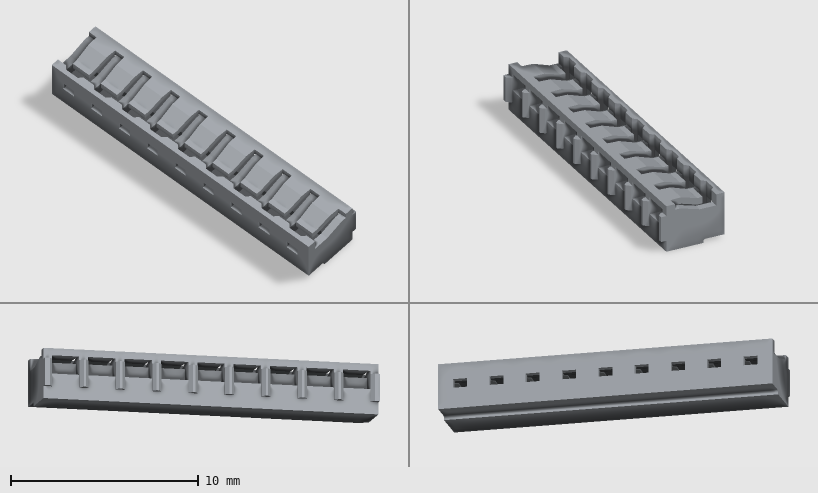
import cadquery as cq
import math

length = 18.4
depth = 3.8
height = 2.75

position_count = 9
end_margin = 0.2
pitch = (length - 2 * end_margin) / position_count
rib_width = 0.5
cavity_width = pitch - rib_width

front = -depth / 2
back = depth / 2
top = height / 2
bottom = -height / 2
left = -length / 2
right = length / 2
body_back = front + 3.5

foot_drop = 2.52
foot_fillet = 0.13
foot_end = front + 1.27

spine_top_drop = 0.59
spine_bottom_drop = 2.08
taper_run = 0.18
taper_depth = 0.22

shelf_drop = 0.33
rib_low_drop = 0.66
front_wall = 0.5
rib_slope_low = front + 1.49
rib_slope_high = front + 2.65
slot_back = front + 2.98

tongue_thickness = 0.39
tongue_drop = 0.31
tongue_tip = front + 1.0
tongue_slope_low = front + 1.32
tongue_slope_high = front + 2.32
tongue_tip_width = 1.15
tongue_root_width = 1.35

floor_drop = 1.38
ramp_front = front + 1.77
ramp_back = front + 2.78
ramp_low_drop = 0.94
ramp_high_drop = 0.65
notch_wall = 0.28
notch_width = 1.23
notch_floor_width = 0.83
window_width = 0.77
window_top_drop = 0.9


def prism_x(points, start, width):
    """Extrude a (y, z) outline along X from the given start."""
    return cq.Workplane("YZ").workplane(offset=start).polyline(points).close().extrude(width)


def prism_z(points, low, high):
    """Extrude an (x, y) outline between two heights."""
    return cq.Workplane("XY").workplane(offset=low).polyline(points).close().extrude(high - low)


def box(x_center, width, y_low, y_high, z_low, z_high):
    """Box centred on x_center with explicit Y and Z limits."""
    size = (width, y_high - y_low, z_high - z_low)
    corner = (x_center - width / 2, y_low, z_low)
    return cq.Workplane("XY").box(*size, centered=False).translate(corner)


def make_body():
    """Plain housing whose underside steps up, through a concave fillet, at the front."""
    foot_top = top - foot_drop
    fillet_mid = foot_fillet * math.sqrt(0.5)
    fillet_center = (foot_end - foot_fillet, foot_top - foot_fillet)
    return (
        cq.Workplane("YZ")
        .workplane(offset=left)
        .moveTo(front, top)
        .lineTo(body_back, top)
        .lineTo(body_back, bottom)
        .lineTo(foot_end, bottom)
        .lineTo(foot_end, foot_top - foot_fillet)
        .threePointArc(
            (fillet_center[0] + fillet_mid, fillet_center[1] + fillet_mid),
            (foot_end - foot_fillet, foot_top),
        )
        .lineTo(front, foot_top)
        .close()
        .extrude(length)
    )


def make_slot():
    """Full-length slot that leaves the ribs with their sloping tops."""
    outline = [
        (front + front_wall, top),
        (front + front_wall, top - rib_low_drop),
        (rib_slope_low, top - rib_low_drop),
        (rib_slope_high, top - shelf_drop),
        (slot_back, top - shelf_drop),
        (slot_back, top),
    ]
    return prism_x(outline, left, length)


def make_spine(x):
    """Spine that carries a rib past the rear face; a side cut by an end face is square."""
    wide = rib_width / 2
    narrow = wide - taper_run
    if x - wide < left:
        outline = [(left, body_back), (left, back)]
    else:
        outline = [(x - wide, body_back), (x - wide, back - taper_depth), (x - narrow, back)]
    if x + wide > right:
        outline += [(right, back), (right, body_back)]
    else:
        outline += [(x + narrow, back), (x + wide, back - taper_depth), (x + wide, body_back)]
    return prism_z(outline, top - spine_bottom_drop, top - spine_top_drop)


def make_cavity(x):
    """Terminal cavity, open at the rear, with a notch in the front wall and a window."""
    floor = top - floor_drop
    roof = top - tongue_thickness
    main = box(x, cavity_width, front + front_wall, body_back, floor, roof)
    wide = notch_width / 2
    narrow = notch_floor_width / 2
    notch_outline = [
        (x - wide, front + front_wall),
        (x - narrow, front + notch_wall),
        (x + narrow, front + notch_wall),
        (x + wide, front + front_wall),
    ]
    notch = prism_z(notch_outline, floor, top)
    window = box(x, window_width, front, front + notch_wall, floor, top - window_top_drop)
    top_opening = box(x, cavity_width, front + front_wall, slot_back, floor, top)
    return main.union(top_opening).union(notch).union(window)


def make_ramp(x):
    """Block across the cavity floor whose top falls toward the front."""
    outline = [
        (ramp_front, top - floor_drop),
        (ramp_front, top - ramp_low_drop),
        (ramp_back, top - ramp_high_drop),
        (ramp_back, top - floor_drop),
    ]
    return prism_x(outline, x - cavity_width / 2, cavity_width)


def make_tongue(x):
    """Bent tongue that narrows from its root toward its tip."""
    tip_z = top - tongue_drop
    profile = [
        (slot_back, top),
        (tongue_slope_high, top),
        (tongue_slope_low, tip_z),
        (tongue_tip, tip_z),
        (tongue_tip, tip_z - tongue_thickness),
        (tongue_slope_low, tip_z - tongue_thickness),
        (tongue_slope_high, top - tongue_thickness),
        (slot_back, top - tongue_thickness),
    ]
    plan = [
        (x - tongue_tip_width / 2, tongue_tip),
        (x + tongue_tip_width / 2, tongue_tip),
        (x + tongue_root_width / 2, slot_back),
        (x - tongue_root_width / 2, slot_back),
    ]
    strip = prism_x(profile, x - cavity_width / 2, cavity_width)
    return strip.intersect(prism_z(plan, top - floor_drop, top))


first_position = -(position_count - 1) / 2 * pitch
position_centers = [first_position + i * pitch for i in range(position_count)]
rib_centers = [first_position + (i - 0.5) * pitch for i in range(position_count + 1)]

result = make_body().cut(make_slot())

for x in position_centers:
    result = result.cut(make_cavity(x))
    result = result.union(make_ramp(x))
    result = result.union(make_tongue(x))

for x in rib_centers:
    result = result.union(make_spine(x))